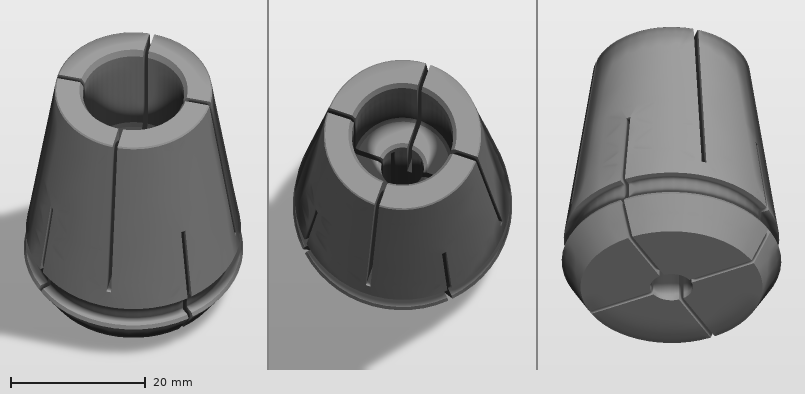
import cadquery as cq
import math

height = 40.0
rim_diameter = 32.6
base_radius = 13.5
rim_bottom_z = 4.9
rim_top_z = 5.5
rim_bevel = 0.3
groove_radius = 14.65
groove_fillet = 0.3
taper_bottom_z = 9.1
taper_bottom_radius = 16.0
taper_angle = 8.0
top_chamfer = 0.2

bore_diameter = 6.35
bore_chamfer = 0.5
pocket_radius = 7.5
pocket_floor_z = 24.0
pocket_floor_chamfer = 0.5
mouth_radius = 8.05
mouth_depth = 0.9

slot_width = 0.7
slots_per_end = 4
lower_slot_top_z = 22.05
upper_slot_bottom_z = 12.0

rim_radius = rim_diameter / 2
bore_radius = bore_diameter / 2
taper_slope = math.tan(math.radians(taper_angle))


def taper_radius(z):
    """Radius of the outer taper at height z."""
    return taper_bottom_radius - (z - taper_bottom_z) * taper_slope


def make_body():
    """Revolve the outside and the stepped bore as one half section."""
    chamfer_z = height - top_chamfer
    chamfer_radius = taper_radius(chamfer_z)
    section = (
        cq.Workplane("XZ")
        .moveTo(bore_radius, 0)
        .lineTo(base_radius, 0)
        .lineTo(rim_radius, rim_bottom_z)
        .lineTo(rim_radius - rim_bevel, rim_top_z)
        .lineTo(groove_radius + groove_fillet, rim_top_z)
        .radiusArc((groove_radius, rim_top_z + groove_fillet), groove_fillet)
        .lineTo(groove_radius, taper_bottom_z - groove_fillet)
        .radiusArc((groove_radius + groove_fillet, taper_bottom_z), groove_fillet)
        .lineTo(taper_bottom_radius, taper_bottom_z)
        .lineTo(chamfer_radius, chamfer_z)
        .lineTo(chamfer_radius - top_chamfer, height)
        .lineTo(mouth_radius, height)
        .lineTo(pocket_radius, height - mouth_depth)
        .lineTo(pocket_radius, pocket_floor_z + pocket_floor_chamfer)
        .lineTo(pocket_radius - pocket_floor_chamfer, pocket_floor_z)
        .lineTo(bore_radius + bore_chamfer, pocket_floor_z)
        .lineTo(bore_radius, pocket_floor_z - bore_chamfer)
        .close()
    )
    return section.revolve(360, (0, 0, 0), (0, 1, 0))


def cut_slots(body, first_angle, bottom_z, top_z):
    """Cut evenly spaced slots through the wall, each pair in one pass across the part."""
    blade = (
        cq.Workplane("XY")
        .workplane(offset=bottom_z)
        .rect(3 * rim_radius, slot_width)
        .extrude(top_z - bottom_z)
    )
    for i in range(slots_per_end // 2):
        angle = first_angle + i * 360 / slots_per_end
        body = body.cut(blade.rotate((0, 0, 0), (0, 0, 1), angle))
    return body


lower_slotted = cut_slots(make_body(), 0, 0, lower_slot_top_z)
half_pitch = 180 / slots_per_end
result = cut_slots(lower_slotted, half_pitch, upper_slot_bottom_z, height)